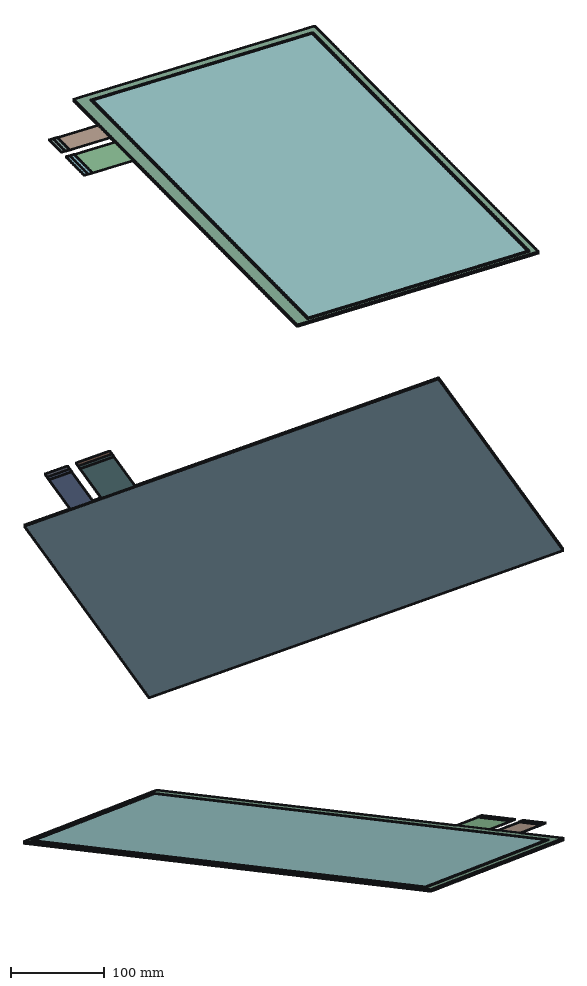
import cadquery as cq

panel_width = 496.0
overall_length = 353.5
panel_thickness = 2.35

panel_length = 293.5
tail_length = overall_length - panel_length

groove_margin_left = 10.0
groove_margin_right = 5.0
groove_margin_top = 8.0
groove_margin_bottom = 15.5
groove_width = 1.5
groove_depth = 0.25

tails = [(55.0, 27.5), (92.0, 40.5)]
tail_thickness = 0.2
tail_bottom = 1.0

stiffener_length = 10.0
stiffener_thickness = 0.5
stiffener_overhang = 5.0


def block(x_start, y_start, z_start, width, length, height):
    """Box placed by its lowest corner."""
    box = cq.Workplane("XY").box(width, length, height, centered=False)
    return box.translate((x_start, y_start, z_start))


def framing_groove():
    """Rectangular ring cut into the top face around the viewing area."""
    width = panel_width - groove_margin_left - groove_margin_right
    length = panel_length - groove_margin_top - groove_margin_bottom
    floor = panel_thickness - groove_depth
    outer = block(groove_margin_left, groove_margin_bottom, floor, width, length, groove_depth)
    island = block(
        groove_margin_left + groove_width,
        groove_margin_bottom + groove_width,
        floor,
        width - 2 * groove_width,
        length - 2 * groove_width,
        groove_depth,
    )
    return outer.cut(island)


def tail(left, width):
    """Thin strip with a stiffener bonded on top of its free end."""
    strip_length = tail_length - stiffener_overhang
    strip = block(left, -strip_length, tail_bottom, width, strip_length, tail_thickness)
    strip_top = tail_bottom + tail_thickness
    stiffener = block(left, -tail_length, strip_top, width, stiffener_length, stiffener_thickness)
    return strip.union(stiffener)


result = block(0, 0, 0, panel_width, panel_length, panel_thickness).cut(framing_groove())
for left, width in tails:
    result = result.union(tail(left, width))